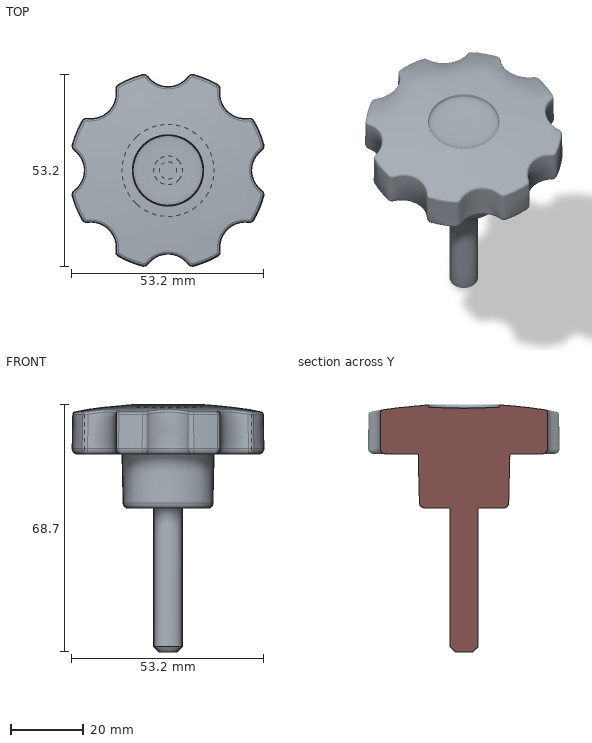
import cadquery as cq
import math

total_height = 68.7
stud_length = 40.0
hub_height = 15.0

head_radius = 27.55
lobe_count = 8
dome_radius = 149.7
side_draft_degrees = 1.2
top_edge_fillet = 0.7
bottom_edge_fillet = 1.6

scallop_radius = 7.0
scallop_floor_radius = 23.2
lobe_corner_fillet = 1.5

recess_rim_radius = 9.9
recess_floor_radius = 9.7
recess_depth = 0.7
recess_dish = 0.3

hub_top_radius = 12.8
hub_bottom_radius = 12.4
hub_edge_fillet = 1.5

stud_diameter = 8.0
tip_chamfer_height = 1.5
tip_chamfer_width = 1.6

head_bottom = stud_length + hub_height
dome_center_z = total_height - math.sqrt(dome_radius**2 - recess_rim_radius**2)


def dome_height(radius):
    """Height of the dome surface at a distance from the axis."""
    return dome_center_z + math.sqrt(dome_radius**2 - radius**2)


def make_head():
    """Domed, drafted disc with scalloped sides and rounded edges."""
    apex_z = dome_center_z + dome_radius
    side_height = dome_height(head_radius) - head_bottom
    shoulder_radius = head_radius - side_height * math.tan(math.radians(side_draft_degrees))
    middle_radius = shoulder_radius / 2
    head = (
        cq.Workplane("XZ")
        .moveTo(0, head_bottom)
        .lineTo(head_radius, head_bottom)
        .lineTo(shoulder_radius, dome_height(shoulder_radius))
        .threePointArc((middle_radius, dome_height(middle_radius)), (0, apex_z))
        .close()
        .revolve(360, (0, 0), (0, 1))
    )
    scallops = (
        cq.Workplane("XY", origin=(0, 0, head_bottom))
        .polarArray(scallop_floor_radius + scallop_radius, 0, 360, lobe_count)
        .circle(scallop_radius)
        .extrude(apex_z - head_bottom)
    )
    head = head.cut(scallops)
    side_middle = cq.selectors.BoxSelector(
        (-head_radius, -head_radius, head_bottom + side_height / 4),
        (head_radius, head_radius, head_bottom + side_height * 3 / 4),
    )
    head = head.edges(side_middle).fillet(lobe_corner_fillet)
    head = head.faces("<Z").edges().fillet(bottom_edge_fillet)
    return head.faces(">Z").edges().fillet(top_edge_fillet)


def make_hub():
    """Tapered hub with a rounded lower edge."""
    return (
        cq.Workplane("XY", origin=(0, 0, stud_length))
        .circle(hub_bottom_radius)
        .workplane(offset=hub_height)
        .circle(hub_top_radius)
        .loft()
        .faces("<Z")
        .edges()
        .fillet(hub_edge_fillet)
    )


def make_stud():
    """Plain round stud with a chamfered tip."""
    return (
        cq.Workplane("XY")
        .circle(stud_diameter / 2)
        .extrude(stud_length)
        .faces("<Z")
        .chamfer(tip_chamfer_height, tip_chamfer_width)
    )


def make_recess():
    """Tapered round recess with a shallow conical floor."""
    floor_z = total_height - recess_depth
    return (
        cq.Workplane("XZ")
        .moveTo(0, floor_z - recess_dish)
        .lineTo(recess_floor_radius, floor_z)
        .lineTo(recess_rim_radius, total_height)
        .lineTo(recess_rim_radius, total_height + recess_depth)
        .lineTo(0, total_height + recess_depth)
        .close()
        .revolve(360, (0, 0), (0, 1))
    )


result = make_head().cut(make_recess()).union(make_hub()).union(make_stud())